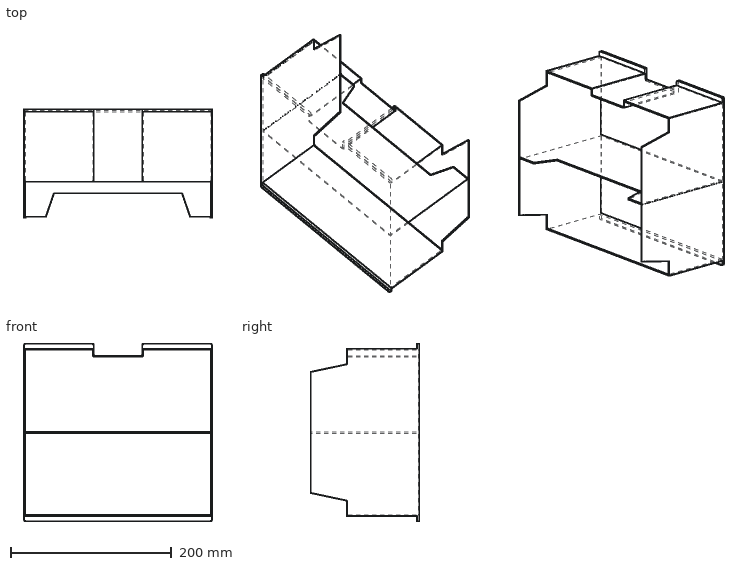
import cadquery as cq

width = 234.0
depth = 135.0
total_height = 221.0
wall = 1.52
bend_radius = 1.0

flange_height = 6.3
flange_thickness = 3.0
flange_corner_radius = 2.3

body_depth = 90.0
body_height = total_height - 2 * flange_height
channel_width = 60.0
channel_depth = 8.7

taper_start = 19.2
taper_end = 28.8

shelf_setback = 1.0
cutout_depth = 29.5
cutout_front_width = 179.2
cutout_back_width = 159.1

half_height = body_height / 2
channel_bottom = half_height - channel_depth


def block(x_size, y_size, z_size, z_bottom):
    """A block centred on X, running forward from the back plane."""
    return (
        cq.Workplane("XY")
        .box(x_size, y_size, z_size, centered=(True, False, False))
        .translate((0, -y_size, z_bottom))
    )


def make_flange_plate():
    """Back plate whose top and bottom strips form the flanges."""
    plate = block(width, flange_thickness, total_height, -total_height / 2)
    return plate.edges("|Y").fillet(flange_corner_radius)


def make_outer_body():
    """Solid envelope of the sides, roof and floor, before hollowing."""
    profile = [
        (0, -half_height),
        (-body_depth, -half_height),
        (-body_depth, -half_height + taper_start),
        (-depth, -half_height + taper_end),
        (-depth, half_height - taper_end),
        (-body_depth, half_height - taper_start),
        (-body_depth, half_height),
        (0, half_height),
    ]
    return cq.Workplane("YZ").polyline(profile).close().extrude(width / 2, both=True)


def make_channel(clearance, radius):
    """Block filling the roof channel, grown by a clearance, with its lower edges rounded."""
    block_width = channel_width + 2 * clearance
    channel = block(block_width, depth, total_height, channel_bottom - clearance)
    return channel.edges("|Y and <Z").fillet(radius)


def make_shelf():
    """Full-width shelf plate centred on Z = 0, notched at the front."""
    shelf_front = -depth + shelf_setback
    cutout_back = shelf_front + cutout_depth
    half_shelf = width / 2 - wall
    outline = [
        (-half_shelf, 0),
        (-half_shelf, shelf_front),
        (-cutout_front_width / 2, shelf_front),
        (-cutout_back_width / 2, cutout_back),
        (cutout_back_width / 2, cutout_back),
        (cutout_front_width / 2, shelf_front),
        (half_shelf, shelf_front),
        (half_shelf, 0),
    ]
    return cq.Workplane("XY").polyline(outline).close().extrude(wall / 2, both=True)


def make_compartment(z_bottom, z_top):
    """Space between two horizontal panels, with rounded lower corners at the side walls."""
    space = block(width - 2 * wall, depth, z_top - z_bottom, z_bottom)
    return space.edges("|Y and <Z").fillet(bend_radius).translate((0, -wall, 0))


def round_channel_mouth(body):
    """Round the flange corners on either side of the channel."""
    corner_x = channel_width / 2
    top = total_height / 2
    reach = 0.2
    mouth_edges = cq.selectors.BoxSelector(
        (-corner_x - reach, -flange_thickness, top - reach),
        (corner_x + reach, 0, top + reach),
    )
    return body.edges("|Y").edges(mouth_edges).fillet(flange_corner_radius)


body = make_flange_plate().union(make_outer_body())
body = body.cut(make_channel(0, bend_radius))
body = round_channel_mouth(body)

upper_space = make_compartment(wall / 2, half_height - wall)
upper_space = upper_space.cut(make_channel(wall, bend_radius + wall))
lower_space = make_compartment(-half_height + wall, -wall / 2)

shelf_layer = block(width - 2 * wall, depth, wall, -wall / 2).cut(make_shelf())

result = body.cut(upper_space).cut(lower_space).cut(shelf_layer)